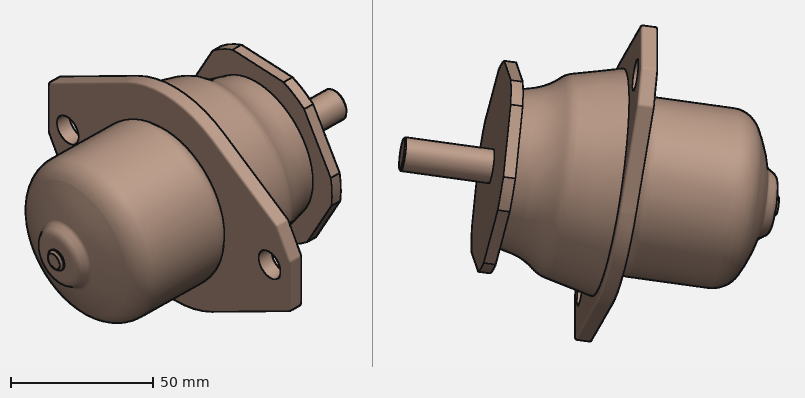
import cadquery as cq
import math


collar_face = 1.5
collar_side_start = 3.5
collar_side_end = 5.1
dome_inner_edge = 5.9
dome_outer_edge = 11.1
can_start = 20.0
can_end = 49.5
flange_front = 54.7
flange_thickness = 6.0
flange_back = flange_front + flange_thickness
waist_start = 78.3
waist_middle = 81.9
waist_end = 92.5
plate_front = 98.0
plate_thickness = 4.3
overall_length = 134.3

nub_radius = 4.0
nub_chamfer = 1.0
collar_face_radius = 8.0
collar_side_start_radius = 11.4
collar_side_end_radius = 12.5
dome_inner_radius = 13.5
dome_outer_radius = 26.6
dome_sphere_radius = 55.7
can_radius = 32.0
can_bevel_radius = 30.9
can_neck_radius = 29.0
bell_base_radius = 40.4
waist_middle_radius = 34.2
waist_end_radius = 29.0
bell_taper = math.tan(math.radians(13.7))

flange_half_width = 63.0
flange_height = 89.0
flange_arc_radius = flange_height / 2
flank_angle = math.radians(30)
cut_corner_x = 56.0
cut_corner_angle = math.radians(60)
flange_corner_radius = 1.9
flange_edge_radius = 1.0
hole_offset = 52.5
hole_diameter = 11.3

plate_sides = 6
plate_flat_distance = 35.2
plate_corner_radius = 37.6
plate_tilt = 1.5

shaft_radius = 6.0
shaft_chamfer = 0.5


def revolve_profile(profile):
    return profile.close().revolve(360, (0, 0, 0), (0, 1, 0))


def make_motor_can():
    """Domed can with a stepped nose, from the nub tip to the middle of the flange."""
    can_bevel_end = flange_front - (can_bevel_radius - can_neck_radius)
    profile = (
        cq.Workplane("XY")
        .lineTo(nub_radius - nub_chamfer, 0)
        .lineTo(nub_radius, nub_chamfer)
        .lineTo(nub_radius, collar_face)
        .lineTo(collar_face_radius, collar_face)
        .tangentArcPoint((collar_side_start_radius, collar_side_start), relative=False)
        .lineTo(collar_side_end_radius, collar_side_end)
        .tangentArcPoint((dome_inner_radius, dome_inner_edge), relative=False)
        .radiusArc((dome_outer_radius, dome_outer_edge), -dome_sphere_radius)
        .tangentArcPoint((can_radius, can_start), relative=False)
        .lineTo(can_radius, can_end)
        .tangentArcPoint((can_bevel_radius, can_bevel_end), relative=False)
        .lineTo(can_neck_radius, flange_front)
        .lineTo(can_neck_radius, flange_front + flange_thickness / 2)
        .lineTo(0, flange_front + flange_thickness / 2)
    )
    return revolve_profile(profile)


def make_bell():
    """Tapered, waisted housing between the flange and the end plate."""
    waist_start_radius = bell_base_radius - bell_taper * (waist_start - flange_back)
    bell_top_radius = waist_end_radius - bell_taper * (plate_front - waist_end)
    profile = (
        cq.Workplane("XY")
        .moveTo(0, flange_back)
        .lineTo(bell_base_radius, flange_back)
        .lineTo(waist_start_radius, waist_start)
        .tangentArcPoint((waist_middle_radius, waist_middle), relative=False)
        .tangentArcPoint((waist_end_radius, waist_end), relative=False)
        .lineTo(bell_top_radius, plate_front)
        .lineTo(0, plate_front)
    )
    return revolve_profile(profile)


def flank_height(x):
    """Height of the straight flank, tangent to the flange arc, at distance x from the axis."""
    return (flange_arc_radius - x * math.sin(flank_angle)) / math.cos(flank_angle)


def make_flange():
    """Lozenge flange, unchanged by a half turn, with one extra cut corner at each end."""
    tangent_x = flange_arc_radius * math.sin(flank_angle)
    tangent_z = flange_arc_radius * math.cos(flank_angle)
    end_z = flank_height(flange_half_width)
    cut_z = flank_height(cut_corner_x)
    cut_end_z = cut_z - (flange_half_width - cut_corner_x) * math.tan(cut_corner_angle)
    flange = (
        cq.Workplane("XZ", origin=(0, flange_front, 0))
        .moveTo(-tangent_x, tangent_z)
        .threePointArc((0, flange_arc_radius), (tangent_x, tangent_z))
        .lineTo(cut_corner_x, cut_z)
        .lineTo(flange_half_width, cut_end_z)
        .lineTo(flange_half_width, -end_z)
        .lineTo(tangent_x, -tangent_z)
        .threePointArc((0, -flange_arc_radius), (-tangent_x, -tangent_z))
        .lineTo(-cut_corner_x, -cut_z)
        .lineTo(-flange_half_width, -cut_end_z)
        .lineTo(-flange_half_width, end_z)
        .close()
        .extrude(-flange_thickness)
    )
    axial_edges = cq.selectors.ParallelDirSelector(cq.Vector(0, 1, 0))
    smooth_joint_zone = cq.selectors.BoxSelector(
        (-hole_offset, 0, -flange_arc_radius),
        (hole_offset, overall_length, flange_arc_radius),
    )
    flange = flange.edges(axial_edges - smooth_joint_zone).fillet(flange_corner_radius)
    flange = flange.faces("<Y or >Y").edges().fillet(flange_edge_radius)
    holes = (
        cq.Workplane("XZ", origin=(0, flange_front, 0))
        .pushPoints([(-hole_offset, 0), (hole_offset, 0)])
        .circle(hole_diameter / 2)
        .extrude(-flange_thickness)
    )
    return flange.cut(holes)


def make_end_plate():
    base = cq.Workplane("XZ", origin=(0, plate_front, 0))
    hexagon = base.polygon(plate_sides, 2 * plate_flat_distance, circumscribed=True)
    hexagon = hexagon.extrude(-plate_thickness)
    turn = 180 / plate_sides + plate_tilt
    hexagon = hexagon.rotate((0, 0, 0), (0, -1, 0), turn)
    disc = base.circle(plate_corner_radius).extrude(-plate_thickness)
    return hexagon.intersect(disc)


def make_shaft():
    return (
        cq.Workplane("XZ", origin=(0, plate_front, 0))
        .circle(shaft_radius)
        .extrude(plate_front - overall_length)
        .faces(">Y")
        .chamfer(shaft_chamfer)
    )


result = make_motor_can()
for piece in (make_flange(), make_bell(), make_end_plate(), make_shaft()):
    result = result.union(piece)